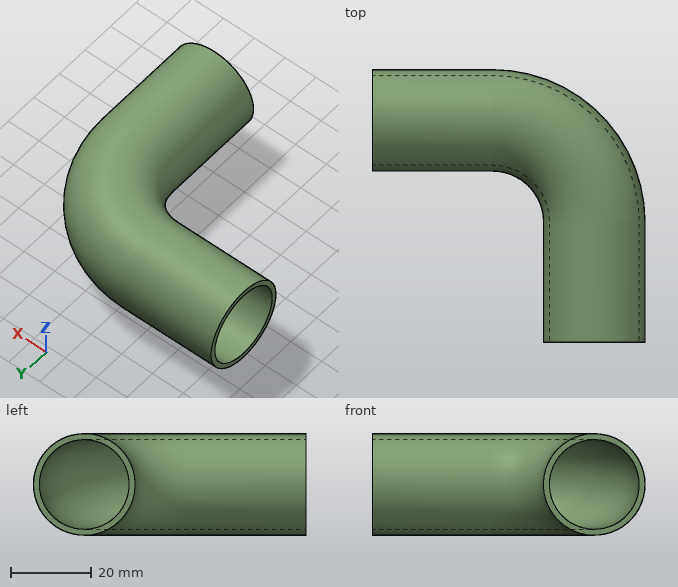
import cadquery as cq

outer_diameter = 25.4
inner_diameter = 22.4

leg_length = 30.0
bend_radius = 25.4
bend_angle = 90

outer_radius = outer_diameter / 2
inner_radius = inner_diameter / 2


def tube_profile(plane):
    """Annular tube section centred on the plane's origin."""
    return cq.Workplane(plane).circle(outer_radius).circle(inner_radius)


def straight_leg(plane):
    """Straight tube running along the plane's normal."""
    return tube_profile(plane).extrude(leg_length)


def bend():
    """Quarter-torus elbow from the X leg round to the Y leg, centred on (0, -bend_radius)."""
    section_plane = cq.Plane(origin=(0, 0, 0), xDir=(0, 1, 0), normal=(1, 0, 0))
    axis_start = (-bend_radius, 0)
    axis_end = (-bend_radius, -1)
    return tube_profile(section_plane).revolve(bend_angle, axis_start, axis_end)


x_leg_plane = cq.Plane(origin=(0, 0, 0), xDir=(0, 1, 0), normal=(-1, 0, 0))
y_leg_plane = cq.Plane(origin=(bend_radius, -bend_radius, 0), xDir=(1, 0, 0), normal=(0, -1, 0))

result = bend().union(straight_leg(x_leg_plane)).union(straight_leg(y_leg_plane))